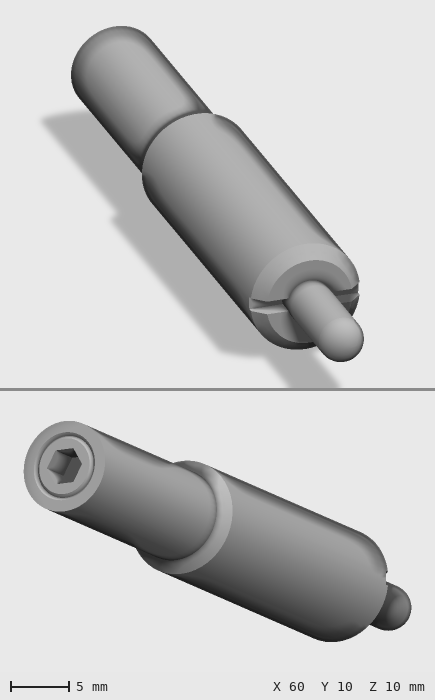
import cadquery as cq
import math

total_length = 60.0
shank_diameter = 8.0
shank_length = 20.0
barrel_diameter = 10.0
barrel_length = 30.0
rear_chamfer = 1.0
front_chamfer = 1.1

pin_diameter = 4.0

slot_width = 1.2
slot_depth = 1.5

countersink_diameter = 6.0
screw_end_diameter = 4.92
socket_across_flats = 3.0
socket_depth = 3.0

barrel_end = shank_length + barrel_length
pin_radius = pin_diameter / 2


def make_body():
    """Revolve the shank, the chamfered barrel and the pin about the X axis."""
    shank_radius = shank_diameter / 2
    barrel_radius = barrel_diameter / 2
    chamfer_radius = barrel_radius - front_chamfer
    nose_start = total_length - pin_radius
    nose_offset = pin_radius * math.sqrt(0.5)
    profile = (
        cq.Workplane("XY")
        .moveTo(0, 0)
        .lineTo(0, shank_radius)
        .lineTo(shank_length, shank_radius)
        .lineTo(shank_length + rear_chamfer, barrel_radius)
        .lineTo(barrel_end - front_chamfer, barrel_radius)
        .lineTo(barrel_end, chamfer_radius)
        .lineTo(barrel_end, pin_radius)
        .lineTo(nose_start, pin_radius)
        .threePointArc((nose_start + nose_offset, nose_offset), (total_length, 0))
        .close()
    )
    return profile.revolve(360, (0, 0, 0), (1, 0, 0))


def make_driver_slot():
    """Slot right across the barrel's front face, passing around the pin."""
    slot = cq.Workplane("XY").box(slot_depth, barrel_diameter, slot_width, centered=(False, True, True))
    slot = slot.translate((barrel_end - slot_depth, 0, 0))
    pin = cq.Workplane("YZ").circle(pin_radius).extrude(total_length)
    return slot.cut(pin)


def make_screw_groove():
    """V-groove between the 45-degree bore countersink and the 45-degree screw chamfer."""
    outer_radius = countersink_diameter / 2
    inner_radius = screw_end_diameter / 2
    groove_depth = (outer_radius - inner_radius) / 2
    profile = (
        cq.Workplane("XY")
        .moveTo(0, inner_radius)
        .lineTo(groove_depth, inner_radius + groove_depth)
        .lineTo(0, outer_radius)
        .close()
    )
    return profile.revolve(360, (0, 0, 0), (1, 0, 0))


def make_hex_socket():
    """Hexagon socket in the screw, with two corners on the Y axis."""
    across_corners = socket_across_flats / math.cos(math.pi / 6)
    return cq.Workplane("YZ").polygon(6, across_corners).extrude(socket_depth)


result = make_body().cut(make_driver_slot()).cut(make_screw_groove()).cut(make_hex_socket())